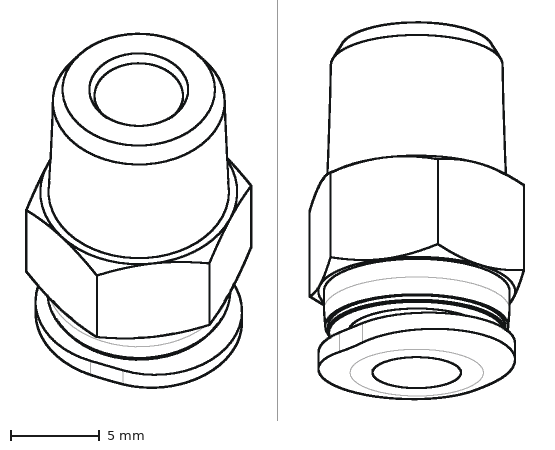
import cadquery as cq
import math

total_height = 19.5
ring_top = 1.5
flare_top = 1.83
collar_bottom = 2.42
collar_edge_top = 2.52
collar_step = 2.79
collar_taper_top = 3.8
hex_bottom = 4.9
hex_top = 11.0
thread_chamfer_bottom = 18.52

ring_length = 11.8
ring_width = 9.8
ring_face_diameter = 7.53
ring_cone_angle = 15.0
neck_diameter = 7.75
flare_diameter = 8.23

collar_diameter = 10.5
collar_taper_diameter = 10.34
collar_lip_diameter = 10.02
collar_end_diameter = 9.9

hex_across_corners = 12.83
hex_across_flats = hex_across_corners * math.cos(math.radians(30))
hex_chamfer_angle = 30.0

thread_base_diameter = 10.18
thread_end_diameter = 9.71
thread_face_diameter = 8.6
bore_diameter = 5.0
countersink_diameter = 5.58
countersink_half_angle = 30.0
countersink_depth = (
    (countersink_diameter - bore_diameter) / 2 / math.tan(math.radians(countersink_half_angle))
)


def revolve_profile(stations):
    """Solid of revolution about Z through (diameter, height) stations."""
    points = [(diameter / 2, height) for diameter, height in stations]
    points = [(0, stations[0][1])] + points + [(0, stations[-1][1])]
    return cq.Workplane("XZ").polyline(points).close().revolve(360, (0, 0), (0, 1))


def make_ring():
    """Oblong push ring whose lower face is relieved by a shallow cone."""
    blank = cq.Workplane("XY").slot2D(ring_length, ring_width).extrude(ring_top)
    cone_rise = (ring_length - ring_face_diameter) / 2 * math.tan(math.radians(ring_cone_angle))
    envelope = revolve_profile([
        (ring_face_diameter, 0),
        (ring_length, cone_rise),
        (ring_length, ring_top),
    ])
    return blank.intersect(envelope)


def make_neck():
    """Neck that flares out where it meets the ring."""
    return revolve_profile([
        (flare_diameter, ring_top),
        (neck_diameter, flare_top),
        (neck_diameter, collar_bottom),
    ])


def make_collar():
    return revolve_profile([
        (collar_end_diameter, collar_bottom),
        (collar_lip_diameter, collar_edge_top),
        (collar_lip_diameter, collar_step),
        (collar_taper_diameter, collar_step),
        (collar_diameter, collar_taper_top),
        (collar_diameter, hex_bottom),
    ])


def make_hexagon():
    """Hexagon with corners on the Y axis, chamfered by a cone at both ends."""
    prism = (
        cq.Workplane("XY", origin=(0, 0, hex_bottom))
        .transformed(rotate=(0, 0, 90))
        .polygon(6, hex_across_corners)
        .extrude(hex_top - hex_bottom)
    )
    chamfer_height = (
        (hex_across_corners - hex_across_flats) / 2 * math.tan(math.radians(hex_chamfer_angle))
    )
    envelope = revolve_profile([
        (hex_across_flats, hex_bottom),
        (hex_across_corners, hex_bottom + chamfer_height),
        (hex_across_corners, hex_top - chamfer_height),
        (hex_across_flats, hex_top),
    ])
    return prism.intersect(envelope)


def make_thread():
    """Plain tapered body of the male thread with a chamfered end."""
    return revolve_profile([
        (thread_base_diameter, hex_top),
        (thread_end_diameter, thread_chamfer_bottom),
        (thread_face_diameter, total_height),
    ])


def make_bore():
    """Through bore with a countersink at the threaded end."""
    return revolve_profile([
        (bore_diameter, 0),
        (bore_diameter, total_height - countersink_depth),
        (countersink_diameter, total_height),
    ])


body = make_ring()
for section in (make_neck(), make_collar(), make_hexagon(), make_thread()):
    body = body.union(section)

result = body.cut(make_bore())